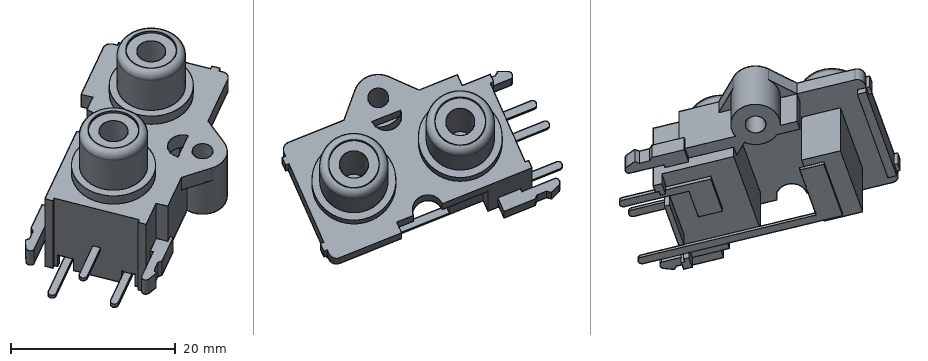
import cadquery as cq
import math


jack_pitch = 14.0
jack_ys = (-jack_pitch / 2, jack_pitch / 2)
collar_radius = 5.1
collar_height = 1.45
sleeve_radius = 4.15
sleeve_rounding = 1.0
rim_radius = 3.05
rim_depth = 0.3
plug_hole_radius = 1.75
plug_hole_depth = 9.0

overall_height = 19.8
plate_top = 12.0
plate_thickness = 2.25
plate_bottom = plate_top - plate_thickness

body_half_width = 6.5
ear_half_width = 8.0
face_y = 13.25
tab_y = 13.7
tab_width = 1.05
ear_corner_radius = 1.0
left_ear_front_y = 4.1
right_side_front_y = -10.0
side_notch_radius = 1.875
rear_lip_depth = 1.1
rear_lip_bottom = 8.8

boss_x = 9.0
boss_radius = 3.0
boss_bottom = 4.0
screw_hole_radius = 1.25
flange_root_y = 4.95
web_inner_x = 6.8
web_corner_y = 2.05
web_slant_x = 5.3

front_block_bottom = 2.05
front_block_rear_y = -3.5
front_step_y = -7.9
front_wall_inner_y = -12.6
wall_notches = ((-5.0, -3.0), (3.2, 4.9))
recessed_left_x = -5.0
rear_block_right_x = 4.5
rear_block_y = (4.5, 9.4)
rear_block_bottom = 0.8

clip_bottom = 3.2
clip_top = 5.75
clip_outer_x = 8.4
clip_neck_x = 8.0
clip_inner_x = 6.9
clip_rear_y = -9.2
clip_root_y = -12.2
clip_shoulder_y = -13.3
clip_neck_y = (-13.7, -15.0)
clip_barb_y = -15.45
clip_tip_width = 1.0
clip_tip_root_y = -16.6
clip_tip_y = -16.95

pin_width = 1.0
pin_spacing = 4.0
pin_tip_y = -18.7
ground_pin_bottom = 4.78
ground_pin_thickness = 0.5
rear_contact_thickness = 0.5
front_contact_thickness = 0.6
contact_pad_length = 3.05
front_pad_x = (-pin_width / 2, pin_spacing + pin_width / 2)
rear_pad_x = (-pin_spacing - pin_width / 2, 3.5)


def block(x_range, y_range, z_range):
    """Rectangular block between the given limits."""
    size = [high - low for low, high in (x_range, y_range, z_range)]
    corner = (x_range[0], y_range[0], z_range[0])
    return cq.Workplane("XY").box(*size, centered=False).translate(corner)


def cylinder(x, y, radius, z_range):
    """Upright cylinder between two levels."""
    bottom, top = z_range
    return cq.Workplane("XY", origin=(x, y, bottom)).circle(radius).extrude(top - bottom)


def prism(points, z_range):
    """Upright prism over a polygon."""
    bottom, top = z_range
    return cq.Workplane("XY", origin=(0, 0, bottom)).polyline(points).close().extrude(top - bottom)


def make_plate():
    """Top plate with its rounded rear ears and two rear tabs."""
    levels = (plate_bottom, plate_top)
    plate = block((-body_half_width, body_half_width), (-face_y, face_y), levels)
    left_ear = block((-ear_half_width, 0), (left_ear_front_y, face_y), levels)
    right_side = block((0, ear_half_width), (right_side_front_y, face_y), levels)
    left_ear = left_ear.edges("|Z and <X and >Y").fillet(ear_corner_radius)
    right_side = right_side.edges("|Z and >X and >Y").fillet(ear_corner_radius)
    plate = plate.union(left_ear).union(right_side)
    for start in (-body_half_width, body_half_width - tab_width):
        plate = plate.union(block((start, start + tab_width), (0, tab_y), levels))
    lip_width = (-body_half_width, body_half_width)
    lip_levels = (rear_lip_bottom, plate_bottom)
    return plate.union(block(lip_width, (face_y - rear_lip_depth, face_y), lip_levels))


def make_flange():
    """Triangular ears of the plate that run tangent into the round screw boss."""
    dx = boss_x - ear_half_width
    distance = math.hypot(dx, flange_root_y)
    angle = math.atan2(flange_root_y, -dx) - math.acos(boss_radius / distance)
    tangent_x = boss_x + boss_radius * math.cos(angle)
    tangent_y = boss_radius * math.sin(angle)
    outline = [
        (body_half_width, flange_root_y),
        (ear_half_width, flange_root_y),
        (tangent_x, tangent_y),
        (tangent_x, -tangent_y),
        (ear_half_width, -flange_root_y),
        (body_half_width, -flange_root_y),
    ]
    return prism(outline, (plate_bottom, plate_top))


def make_boss_web():
    """Wall below the plate's right side, from the front block past the boss."""
    outline = [
        (web_inner_x, flange_root_y),
        (ear_half_width, flange_root_y),
        (ear_half_width, right_side_front_y),
        (web_slant_x, right_side_front_y),
        (web_slant_x, front_block_rear_y),
        (web_inner_x, -web_corner_y),
    ]
    return prism(outline, (boss_bottom, plate_bottom))


def make_front_block():
    """Deep block under the front jack, with corner posts and a notched front wall."""
    rear_part_x = (recessed_left_x, body_half_width)
    levels = (front_block_bottom, plate_top)
    front = block((-body_half_width, body_half_width), (-face_y, front_step_y), levels)
    rear = block(rear_part_x, (front_step_y, front_block_rear_y), levels)
    wall = block((-body_half_width, body_half_width), (-face_y, front_wall_inner_y), (0, plate_top))
    for start in (-body_half_width, body_half_width - tab_width):
        post = block((start, start + tab_width), (-tab_y, front_wall_inner_y), (0, plate_top))
        wall = wall.union(post)
    for notch in wall_notches:
        wall = wall.cut(block(notch, (-tab_y, front_wall_inner_y), (0, front_block_bottom)))
    return front.union(rear).union(wall)


def make_rear_block():
    """Plain block under the rear jack."""
    x_range = (recessed_left_x, rear_block_right_x)
    return block(x_range, rear_block_y, (rear_block_bottom, plate_top))


def make_clip():
    """Right-hand snap clip with a barbed, rounded arm."""
    tip_x = clip_inner_x + clip_tip_width / 2
    outline = (
        cq.Workplane("XY", origin=(0, 0, clip_bottom))
        .moveTo(body_half_width, clip_rear_y)
        .lineTo(clip_outer_x, clip_rear_y)
        .lineTo(clip_outer_x, clip_shoulder_y)
        .lineTo(clip_neck_x, clip_neck_y[0])
        .lineTo(clip_neck_x, clip_neck_y[1])
        .lineTo(clip_outer_x, clip_barb_y)
        .lineTo(clip_inner_x + clip_tip_width, clip_tip_root_y)
        .threePointArc((tip_x, clip_tip_y), (clip_inner_x, clip_tip_root_y))
        .lineTo(clip_inner_x, clip_root_y)
        .lineTo(body_half_width, clip_root_y)
        .close()
    )
    return outline.extrude(clip_top - clip_bottom)


def make_jack(y):
    """Collar and round-shouldered sleeve."""
    collar = cylinder(0, y, collar_radius, (plate_top, plate_top + collar_height))
    sleeve = cylinder(0, y, sleeve_radius, (plate_top, overall_height))
    return collar.union(sleeve.faces(">Z").edges().fillet(sleeve_rounding))


def make_pin(x, rear_y, bottom, thickness):
    """Flat terminal running forward to a rounded tip."""
    radius = pin_width / 2
    strip = block((x - radius, x + radius), (pin_tip_y + radius, rear_y), (bottom, bottom + thickness))
    return strip.union(cylinder(x, pin_tip_y + radius, radius, (bottom, bottom + thickness)))


def make_contact(jack_y, pad_x, pin_x, top, thickness):
    """Signal contact: a flat pad lying under a block, with a pin running forward from it."""
    bottom = top - thickness
    pad_front_y = jack_y - contact_pad_length
    pad = block(pad_x, (pad_front_y, jack_y), (bottom, top))
    return pad.union(make_pin(pin_x, pad_front_y, bottom, thickness))


def make_upper_deck():
    """Plate, flange and top of the screw boss, with a round notch in each side of the body."""
    levels = (plate_bottom, plate_top)
    deck = make_plate().union(make_flange()).union(cylinder(boss_x, 0, boss_radius, levels))
    body_width = block((-body_half_width, body_half_width), (-face_y, face_y), levels)
    for x in (-body_half_width, body_half_width):
        notch = cylinder(x, 0, side_notch_radius, levels)
        deck = deck.cut(notch.intersect(body_width))
    return deck


def make_housing():
    """Moulded body with both jacks, clips, screw boss and the centre ground pin."""
    lower_boss = cylinder(boss_x, 0, boss_radius, (boss_bottom, plate_bottom))
    body = make_upper_deck().union(make_front_block()).union(make_rear_block())
    body = body.union(make_boss_web()).union(lower_boss)
    body = body.cut(cylinder(boss_x, 0, screw_hole_radius, (boss_bottom, plate_top)))
    clip = make_clip()
    body = body.union(clip).union(clip.mirror("YZ"))
    rim_floor = overall_height - rim_depth
    for y in jack_ys:
        body = body.union(make_jack(y))
        body = body.cut(cylinder(0, y, rim_radius, (rim_floor, overall_height)))
        body = body.cut(cylinder(0, y, plug_hole_radius, (rim_floor - plug_hole_depth, rim_floor)))
    return body.union(make_pin(0, -face_y, ground_pin_bottom, ground_pin_thickness))


housing = make_housing()
front_contact = make_contact(
    jack_ys[0], front_pad_x, pin_spacing, front_block_bottom, front_contact_thickness
)
rear_contact = make_contact(
    jack_ys[1], rear_pad_x, -pin_spacing, rear_block_bottom, rear_contact_thickness
)
result = cq.Compound.makeCompound([housing.val(), front_contact.val(), rear_contact.val()])